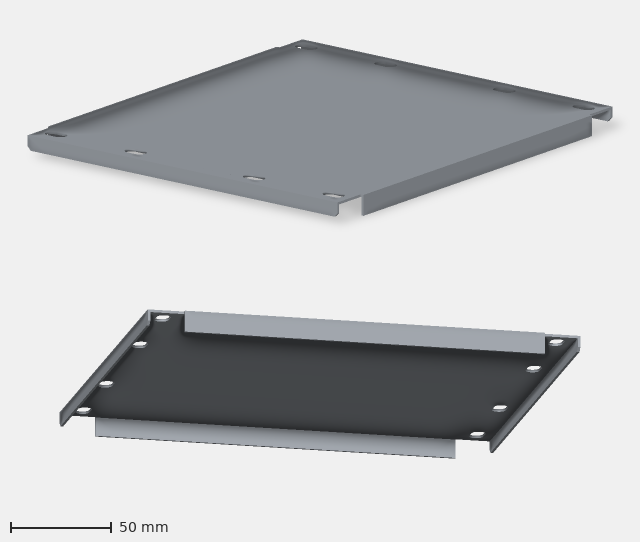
import cadquery as cq

width = 199.0
length = 220.0
side_flange_depth = 10.8

sheet = 1.3
end_flange_depth = 7.7
end_flange_chamfer = 2.0
corner_step = 1.8
corner_length = 18.5

slot_length = 12.0
slot_width = 7.0
slot_edge_distance = 10.0
outer_slot_x = 87.5
inner_slot_x = 37.5

end_width = width - 2 * corner_step
side_flange_length = length - 2 * corner_length


def box_below_top(size_x, size_y, depth):
    """Box centred on X and Y, hanging down from the top face."""
    return cq.Workplane("XY").box(size_x, size_y, depth, centered=(True, True, False)).translate((0, 0, -depth))


def make_panel():
    """Flat sheet with narrowed ends."""
    return box_below_top(end_width, length, sheet).union(box_below_top(width, side_flange_length, sheet))


def make_side_flange(side):
    """Plain flange along one long edge; side is -1 or 1."""
    flange = box_below_top(sheet, side_flange_length, side_flange_depth)
    return flange.translate((side * (width - sheet) / 2, 0, 0))


def make_end_flange(side):
    """Flange along one end with chamfered lower corners; side is -1 or 1."""
    flange = box_below_top(end_width, sheet, end_flange_depth)
    flange = flange.faces("<Z").edges("|Y").chamfer(end_flange_chamfer)
    return flange.translate((0, side * (length - sheet) / 2, 0))


def make_slots():
    """Cutters for the row of four slots along each end."""
    slot_y = length / 2 - slot_edge_distance
    centres = [
        (x, y)
        for x in (-outer_slot_x, -inner_slot_x, inner_slot_x, outer_slot_x)
        for y in (-slot_y, slot_y)
    ]
    return cq.Workplane("XY").pushPoints(centres).slot2D(slot_length, slot_width).extrude(-sheet)


result = make_panel()
for side in (-1, 1):
    result = result.union(make_side_flange(side)).union(make_end_flange(side))
result = result.cut(make_slots())